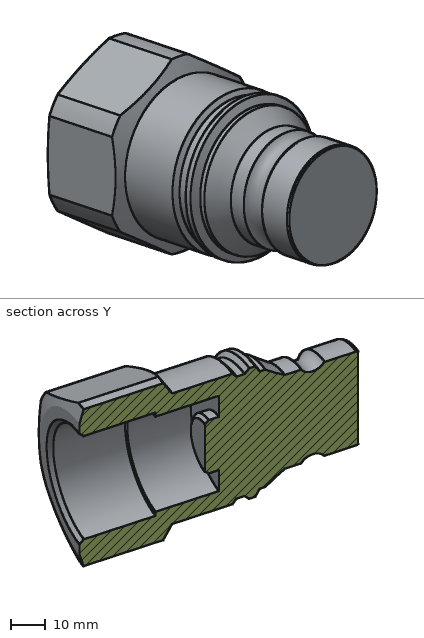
import cadquery as cq

length = 90.0
across_flats = 55.0
hex_corner_radius = 60.0 / 2
body_radius = 25.0
nose_radius = 18.0

hex_front_chamfer = 1.35
hex_back_start = 27.1
hex_back_end = 30.0

groove_radius = 23.4
groove_start = 49.4
groove_floor_start = 50.7
groove_floor_end = 53.3
collar_start = 54.8
collar_end = 56.8

shoulder_radius = 22.5
shoulder_start = 58.2
taper_start = 59.9
taper_end = 66.2

lock_start = 71.55
lock_middle = 75.15
lock_end = 2 * lock_middle - lock_start
lock_radius = 15.9
lock_edge_width = 0.4
lock_edge_height = 0.3
nose_chamfer_length = 0.7
nose_chamfer_height = 0.3

bore_mouth_radius = 21.1
bore_radius = 19.6
bore_depth = 24.6
inner_bore_radius = 18.1
inner_bore_depth = 45.0
stud_radius = 10.3
stud_height = 4.5
stud_chamfer = 1.2


def revolve_about_x(profile):
    """Close a profile drawn as (X, radius) and turn it about the X axis."""
    return profile.close().revolve(360, (0, 0, 0), (1, 0, 0))


def make_body():
    """Turned outside shape, including the cones that limit the hexagon corners."""
    profile = (
        cq.Workplane("XY")
        .lineTo(0, body_radius)
        .lineTo(hex_front_chamfer, hex_corner_radius)
        .lineTo(hex_back_start, hex_corner_radius)
        .lineTo(hex_back_end, body_radius)
        .lineTo(groove_start, body_radius)
        .lineTo(groove_floor_start, groove_radius)
        .lineTo(groove_floor_end, groove_radius)
        .lineTo(collar_start, body_radius)
        .lineTo(collar_end, body_radius)
        .lineTo(shoulder_start, shoulder_radius)
        .lineTo(taper_start, shoulder_radius)
        .lineTo(taper_end, nose_radius)
        .lineTo(lock_start, nose_radius)
        .threePointArc((lock_middle, lock_radius), (lock_end, nose_radius - lock_edge_height))
        .lineTo(lock_end + lock_edge_width, nose_radius)
        .lineTo(length - nose_chamfer_length, nose_radius)
        .lineTo(length, nose_radius - nose_chamfer_height)
        .lineTo(length, 0)
    )
    return revolve_about_x(profile)


def make_hexagon():
    """Hexagonal bar with flats facing +Y and -Y and corners at +Z and -Z."""
    return (
        cq.Workplane("YZ")
        .polygon(6, across_flats, circumscribed=True)
        .extrude(length)
    )


def make_bore():
    """Stepped blind bore with a chamfered mouth, leaving the stud uncut."""
    stud_top = inner_bore_depth - stud_height
    profile = (
        cq.Workplane("XY")
        .lineTo(0, bore_mouth_radius)
        .lineTo(bore_mouth_radius - bore_radius, bore_radius)
        .lineTo(bore_depth, bore_radius)
        .lineTo(bore_depth, inner_bore_radius)
        .lineTo(inner_bore_depth, inner_bore_radius)
        .lineTo(inner_bore_depth, stud_radius)
        .lineTo(stud_top + stud_chamfer, stud_radius)
        .lineTo(stud_top, stud_radius - stud_chamfer)
        .lineTo(stud_top, 0)
    )
    return revolve_about_x(profile)


result = make_body().intersect(make_hexagon()).cut(make_bore())